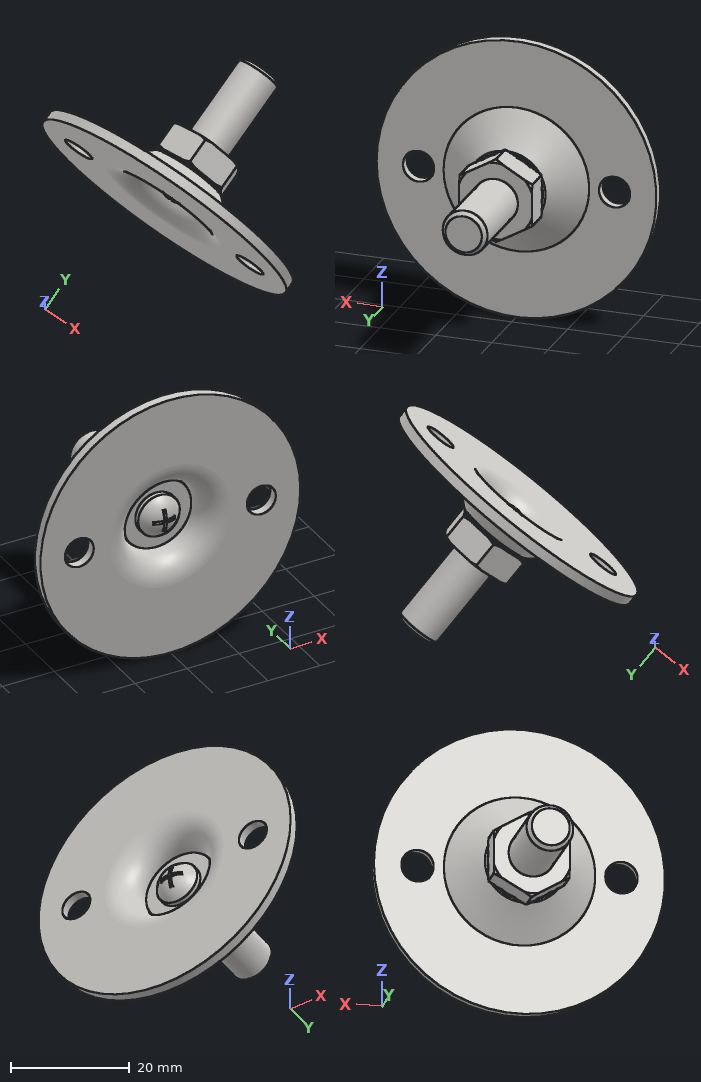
import cadquery as cq
import math

overall_length = 28.5

flange_diameter = 50.0
flange_thickness = 2.0
mount_hole_diameter = 5.5
mount_hole_spacing = 35.0

recess_floor_diameter = 13.5
recess_depth = 5.0

hub_base_diameter = 26.0
hub_top_diameter = 13.9
hub_top_y = 6.9
hub_sag = 0.1

washer_diameter = 13.0

nut_width = 13.0
nut_start_y = 7.35
nut_end_y = 12.5
nut_chamfer_diameter = 13.8
nut_chamfer_height = 0.3

stud_diameter = 8.0
stud_chamfer = 0.75

head_diameter = 8.0
head_rim_height = 1.0
head_dome_height = 2.3
cross_length = 4.1
cross_width = 0.5
cross_depth = 1.0


def cylinder(diameter, start_y, end_y, x=0):
    """Solid cylinder along Y between two Y positions."""
    base = cq.Workplane("XZ", origin=(x, start_y, 0))
    return base.circle(diameter / 2).extrude(start_y - end_y)


def revolve_about_y(profile):
    """Turn a closed radius-versus-Y profile around the Y axis."""
    return profile.close().revolve(360, (0, 0, 0), (0, 1, 0))


def make_hub():
    """Flared hub whose side is a shallow hollow arc."""
    base_radius = hub_base_diameter / 2
    top_radius = hub_top_diameter / 2
    run = base_radius - top_radius
    rise = hub_top_y - flange_thickness
    chord = math.hypot(run, rise)
    middle = (
        (base_radius + top_radius) / 2 - hub_sag * rise / chord,
        (flange_thickness + hub_top_y) / 2 - hub_sag * run / chord,
    )
    profile = (
        cq.Workplane("XY")
        .lineTo(base_radius, 0)
        .lineTo(base_radius, flange_thickness)
        .threePointArc(middle, (top_radius, hub_top_y))
        .lineTo(0, hub_top_y)
    )
    return revolve_about_y(profile)


def make_recess():
    """Trumpet-shaped cavity: a quarter-round wall runs from the front face to a flat floor."""
    floor_radius = recess_floor_diameter / 2
    mouth_radius = floor_radius + recess_depth
    diagonal = recess_depth * math.sqrt(0.5)
    profile = (
        cq.Workplane("XY")
        .lineTo(mouth_radius, 0)
        .threePointArc(
            (mouth_radius - diagonal, recess_depth - diagonal),
            (floor_radius, recess_depth),
        )
        .lineTo(0, recess_depth)
    )
    return revolve_about_y(profile)


def make_nut():
    """Hexagonal nut, corners on the Z axis, with both ends chamfered by a turned envelope."""
    corner_diameter = nut_width / math.cos(math.pi / 6)
    hexagon = (
        cq.Workplane("XZ", origin=(0, nut_start_y, 0))
        .transformed(rotate=(0, 0, 90))
        .polygon(6, corner_diameter)
        .extrude(nut_start_y - nut_end_y)
    )
    chamfer_width = (corner_diameter - nut_chamfer_diameter) / 2
    envelope = (
        cylinder(corner_diameter, nut_start_y, nut_end_y)
        .edges()
        .chamfer(nut_chamfer_height, chamfer_width)
    )
    return hexagon.intersect(envelope)


def make_stud():
    """Plain stud from the hub to the chamfered free end."""
    return cylinder(stud_diameter, recess_depth, overall_length).faces(">Y").chamfer(stud_chamfer)


def make_screw_head():
    """Domed head standing on the recess floor, with a cross slot in its crown."""
    radius = head_diameter / 2
    rim_y = recess_depth - head_rim_height
    crown_y = rim_y - head_dome_height
    dome_radius = (radius**2 + head_dome_height**2) / (2 * head_dome_height)
    half_angle = math.asin(radius / dome_radius) / 2
    dome_middle = (
        dome_radius * math.sin(half_angle),
        crown_y + dome_radius * (1 - math.cos(half_angle)),
    )
    profile = (
        cq.Workplane("XY")
        .moveTo(0, recess_depth)
        .lineTo(radius, recess_depth)
        .lineTo(radius, rim_y)
        .threePointArc(dome_middle, (0, crown_y))
    )
    head = revolve_about_y(profile)
    slot_start = cq.Workplane("XZ", origin=(0, crown_y, 0))
    for length_x, length_z in ((cross_length, cross_width), (cross_width, cross_length)):
        head = head.cut(slot_start.rect(length_x, length_z).extrude(-cross_depth))
    return head


body = cylinder(flange_diameter, 0, flange_thickness).union(make_hub()).cut(make_recess())
for side in (-1, 1):
    body = body.cut(cylinder(mount_hole_diameter, 0, flange_thickness, side * mount_hole_spacing / 2))

washer = cylinder(washer_diameter, hub_top_y, nut_start_y)
result = body.union(washer).union(make_nut()).union(make_stud()).union(make_screw_head())